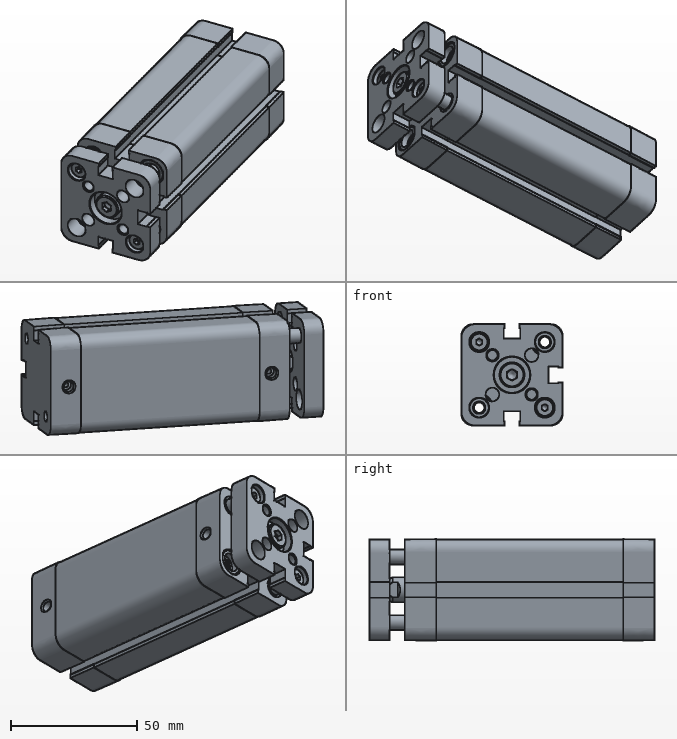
import cadquery as cq
import math


plate_thickness = 8.0
rod_gap = 6.0
cap_length = 12.5
total_length = 113.0
cap_front_y = plate_thickness + rod_gap
joint_y = cap_front_y + cap_length
tube_length = total_length - cap_front_y - 2 * cap_length
middle_y = (cap_front_y + total_length) / 2

side = 40.0
tube_corner_radius = 5.0
plate_corner_radius = 5.2
cap_joint_side = 40.3
cap_end_side = 40.05
cap_draft = math.degrees(math.atan((cap_joint_side - cap_end_side) / 2 / cap_length))

slot_floor = 14.5
cap_slot_floor = 14.4
slot_lip = 18.4
slot_width = 6.5
slot_mouth = 6.2
cap_slot_mouth = 5.8
slot_angles = (0, 90, 270)

corner_offset = 13.0
guide_corners = [(-corner_offset, corner_offset), (corner_offset, -corner_offset)]
screw_corners = [(corner_offset, corner_offset), (-corner_offset, -corner_offset)]

guide_diameter = 6.0
guide_clearance = 8.0
guide_clearance_depth = 0.4
rod_diameter = 10.0
rod_end_diameter = 9.0
rod_end_chamfer = 1.2
rod_flats = 8.0
flat_runout = (rod_diameter - rod_flats) / 2
flat_setback = 1.8

cap_recess_diameter = 10.9
cap_recess_depth = 1.0
screw_head_diameter = 10.0
screw_head_depth = 0.3
cap_bore_diameter = 7.5
cap_bore_depth = 3.0
through_diameter = 4.13
through_countersink = 5.0

plate_hole_diameter = 8.0
guide_bore_diameter = 7.5
guide_seat_depth = 4.0
guide_head_diameter = 7.0
guide_head_chamfer = 0.25
guide_head_depth = 1.8
guide_socket = 2.5
centre_bore_diameter = 14.2
centre_bore_countersink = 14.7
centre_seat_depth = 4.0
centre_head_diameter = 10.0
centre_head_chamfer = 0.5
centre_head_depth = 0.8
centre_socket = 4.0
socket_depth = 2.0
drill_point_angle = 120.0
bolt_circle_diameter = 22.0
bolt_offset = bolt_circle_diameter / 2 * math.cos(math.radians(45))
pin_hole_diameter = 5.4
thread_diameter = 4.13
thread_countersink = 5.0

port_end_distance = 7.5
port_countersink = 5.4
port_diameter = 4.13
port_depth = 4.0
port_bleed_diameter = 2.0
port_bleed_depth = 8.0


def face_at(y):
    """Workplane parallel to XZ at the given Y, facing -Y; local axes are X and Z."""
    return cq.Workplane(cq.Plane(origin=(0, y, 0), xDir=(1, 0, 0), normal=(0, -1, 0)))


def block(y, length, corner_radius):
    """Square bar with rounded corners, running from y towards +Y."""
    return face_at(y).rect(side, side).extrude(-length).edges("|Y").fillet(corner_radius)


def cylinders(points, y, length, diameter):
    """Cylinders at the given X-Z points, running from y towards +Y."""
    return face_at(y).pushPoints(points).circle(diameter / 2).extrude(-length)


def countersinks(points, y, wide, narrow):
    """45-degree cones that open a hole of the narrow diameter to the wide one at face y."""
    depth = (wide - narrow) / 2
    cone = cq.Solid.makeCone(wide / 2, narrow / 2, depth, cq.Vector(0, y, 0), cq.Vector(0, 1, 0))
    return copies(cq.Workplane(cone), points)


def copies(cutter, points):
    """Copies of a shape on the Y axis, moved to the given X-Z points."""
    moved = cq.Workplane()
    for x, z in points:
        moved = moved.add(cutter.translate((x, 0, z)))
    return moved.combine()


def slots(y, length, mouth, floor):
    """Stepped slots open to the outside, narrower at the mouth than at the floor."""
    outside = side
    cutter = cq.Workplane()
    for angle in slot_angles:
        inner = face_at(y).center((floor + slot_lip) / 2, 0)
        inner = inner.rect(slot_lip - floor, slot_width).extrude(-length)
        lip = face_at(y).center((slot_lip + outside) / 2, 0)
        lip = lip.rect(outside - slot_lip, mouth).extrude(-length)
        cutter = cutter.add(inner.union(lip).rotate((0, 0, 0), (0, 1, 0), angle))
    return cutter.combine()


def hex_sockets(points, y, across_flats):
    """Hexagonal sockets with a vertex at the top and a conical bottom."""
    across_corners = across_flats / math.cos(math.radians(30))
    prism = face_at(y).polygon(6, across_corners).extrude(-socket_depth)
    prism = prism.rotate((0, 0, 0), (0, 1, 0), 30)
    point_depth = across_flats / 2 / math.tan(math.radians(drill_point_angle / 2))
    bottom = cq.Vector(0, y + socket_depth, 0)
    point = cq.Solid.makeCone(across_flats / 2, 0, point_depth, bottom, cq.Vector(0, 1, 0))
    socket = prism.union(cq.Workplane(point))
    return copies(socket, points)


def make_tube():
    """Slotted profile tube between the end caps."""
    tube = block(joint_y, tube_length, tube_corner_radius)
    return tube.cut(slots(joint_y, tube_length, slot_mouth, slot_floor))


def make_cap():
    """Front cap with its draft and slots; it tapers from the tube joint to its outer face."""
    outline = cq.Sketch().rect(cap_joint_side, cap_joint_side).vertices().fillet(tube_corner_radius)
    cap = face_at(joint_y).placeSketch(outline).extrude(cap_length, taper=cap_draft)
    cap = cap.cut(slots(cap_front_y, cap_length, cap_slot_mouth, cap_slot_floor))
    return cap.cut(make_port())


def make_port():
    """Air port on the -X side: countersink, bore and small bleed hole."""
    start = cq.Vector(-side / 2, cap_front_y + port_end_distance, 0)
    inward = cq.Vector(1, 0, 0)
    bore = cq.Solid.makeCylinder(port_diameter / 2, port_depth, start, inward)
    bleed = cq.Solid.makeCylinder(port_bleed_diameter / 2, port_bleed_depth, start, inward)
    sink_depth = (port_countersink - port_diameter) / 2
    sink = cq.Solid.makeCone(port_countersink / 2, port_diameter / 2, sink_depth, start, inward)
    mouth = cq.Solid.makeCylinder(port_countersink / 2, cap_joint_side - side, start, -inward)
    port = cq.Workplane(bore)
    for part in (bleed, sink, mouth):
        port = port.union(cq.Workplane(part))
    return port


def make_cylinder_body():
    """Tube and both end caps, with the screw holes and guide rod clearances cut from the front."""
    cap = make_cap()
    rear_cap = cap.mirror("XZ", (0, middle_y, 0))
    body = make_tube().union(cap).union(rear_cap)
    seat_y = cap_front_y + cap_bore_depth
    body = body.cut(cylinders(screw_corners, cap_front_y, cap_recess_depth, cap_recess_diameter))
    screw_head_y = cap_front_y + screw_head_depth
    screw_head_height = cap_recess_depth - screw_head_depth
    body = body.union(cylinders(screw_corners, screw_head_y, screw_head_height, screw_head_diameter))
    body = body.cut(cylinders(screw_corners, cap_front_y, cap_bore_depth, cap_bore_diameter))
    body = body.cut(countersinks(screw_corners, seat_y, through_countersink, through_diameter))
    body = body.cut(cylinders(screw_corners, cap_front_y, total_length, through_diameter))
    return body.cut(cylinders(guide_corners, cap_front_y, guide_clearance_depth, guide_clearance))


def make_piston_rod():
    """Rod with a conical end against the plate and two wrench flats facing +X and -X."""
    radius = rod_diameter / 2
    profile = [
        (0, plate_thickness),
        (rod_end_diameter / 2, plate_thickness),
        (radius, plate_thickness + rod_end_chamfer),
        (radius, cap_front_y),
        (0, cap_front_y),
    ]
    rod = cq.Workplane("XY").polyline(profile).close().revolve(360, (0, 0), (0, 1))
    flat_end_y = cap_front_y - flat_setback
    flat_outline = [
        (rod_flats / 2, plate_thickness),
        (rod_flats / 2, flat_end_y - flat_runout),
        (radius, flat_end_y),
        (rod_diameter, flat_end_y),
        (rod_diameter, plate_thickness),
    ]
    flat = cq.Workplane("XY").polyline(flat_outline).close().extrude(radius, both=True)
    return rod.cut(flat).cut(flat.mirror("YZ"))


def make_guide_rods():
    """Guide rods from the plate to the floor of their clearances in the front cap."""
    length = rod_gap + guide_clearance_depth
    return cylinders(guide_corners, plate_thickness, length, guide_diameter)


def make_plate():
    """Front plate with its slots, mounting holes and recessed rod screws."""
    plate = block(0, plate_thickness, plate_corner_radius)
    plate = plate.cut(slots(0, plate_thickness, slot_mouth, slot_floor))
    plate = plate.cut(cylinders(screw_corners, 0, plate_thickness, plate_hole_diameter))

    pin_holes = [(bolt_offset, bolt_offset), (-bolt_offset, -bolt_offset)]
    plate = plate.cut(cylinders(pin_holes, 0, plate_thickness, pin_hole_diameter))
    threads = [(-bolt_offset, bolt_offset), (bolt_offset, -bolt_offset)]
    plate = plate.cut(cylinders(threads, 0, plate_thickness, thread_diameter))
    plate = plate.cut(countersinks(threads, 0, thread_countersink, thread_diameter))

    plate = plate.cut(cylinders(guide_corners, 0, guide_seat_depth, guide_bore_diameter))
    plate = plate.cut(countersinks(guide_corners, 0, plate_hole_diameter, guide_bore_diameter))
    guide_head_height = guide_seat_depth - guide_head_depth
    guide_heads = cylinders(guide_corners, guide_head_depth, guide_head_height, guide_head_diameter)
    plate = plate.union(guide_heads.faces("<Y").chamfer(guide_head_chamfer))
    plate = plate.cut(hex_sockets(guide_corners, guide_head_depth, guide_socket))

    centre = [(0, 0)]
    plate = plate.cut(cylinders(centre, 0, centre_seat_depth, centre_bore_diameter))
    plate = plate.cut(countersinks(centre, 0, centre_bore_countersink, centre_bore_diameter))
    centre_head_height = centre_seat_depth - centre_head_depth
    centre_head = cylinders(centre, centre_head_depth, centre_head_height, centre_head_diameter)
    plate = plate.union(centre_head.faces("<Y").chamfer(centre_head_chamfer))
    return plate.cut(hex_sockets(centre, centre_head_depth, centre_socket))


result = make_cylinder_body().union(make_piston_rod()).union(make_guide_rods()).union(make_plate())